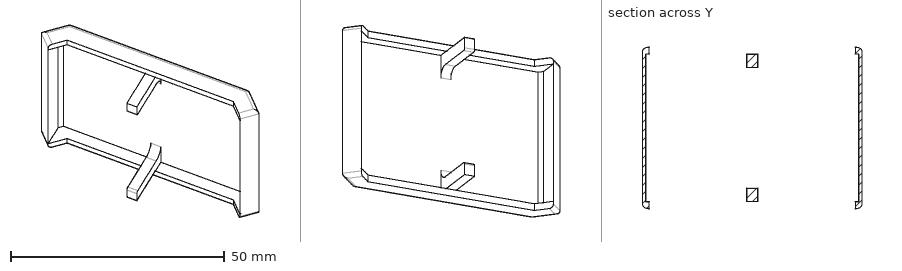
import cadquery as cq

length = 56.6
height = 38.0
depth = 15.0

tip_depth = 5.0
wing_reach = 3.35
edge_radius = 1.0

rim = 1.7
floor_depth = 2.0
cavity_bevel = 0.95

post_width = 2.6
post_height = 3.15
post_root_radius = 2.5
post_tip_radius = 0.5

half_length = length / 2
half_height = height / 2
back_half = half_length - tip_depth
wing_end_half = half_length - wing_reach
wing_end_depth = tip_depth + wing_reach
knee_half = wing_end_half - wing_reach
cavity_half_height = half_height - rim


def mirrored_prism(right_side, half_thickness):
    """Extrude along Z an XY outline completed by mirroring its right side in X."""
    left_side = [(-x, y) for x, y in reversed(right_side)]
    outline = cq.Workplane("XY").polyline(right_side + left_side).close()
    return outline.extrude(half_thickness, both=True)


def make_cover():
    body = mirrored_prism(
        [
            (back_half, 0),
            (half_length, -tip_depth),
            (wing_end_half, -wing_end_depth),
            (knee_half, -tip_depth),
        ],
        half_height,
    )
    body = body.edges("|Z and >Y").fillet(edge_radius)
    wing_middle_x = (back_half + half_length) / 2
    wing_end_middle_x = (wing_end_half + half_length) / 2
    rounded_edges = cq.Workplane()
    for z in (-half_height, half_height):
        for side in (-1, 1):
            wing_point = (side * wing_middle_x, -tip_depth / 2, z)
            end_point = (side * wing_end_middle_x, -tip_depth - wing_reach / 2, z)
            for point in (wing_point, end_point):
                rounded_edges = rounded_edges.add(body.edges(cq.NearestToPointSelector(point)).val())
    return body.newObject(rounded_edges.vals()).fillet(edge_radius)


def make_cavity():
    return mirrored_prism(
        [
            (wing_end_half - cavity_bevel, -floor_depth),
            (wing_end_half, -floor_depth - cavity_bevel),
            (wing_end_half, -wing_end_depth),
        ],
        cavity_half_height,
    )


def make_lower_post():
    base = -cavity_half_height
    top = base + post_height
    embedded_y = -floor_depth / 2
    return (
        cq.Workplane("YZ")
        .moveTo(embedded_y, base)
        .lineTo(-depth, base)
        .lineTo(-depth, top - post_tip_radius)
        .radiusArc((-depth + post_tip_radius, top), post_tip_radius)
        .lineTo(-floor_depth - post_root_radius, top)
        .radiusArc((-floor_depth, top + post_root_radius), -post_root_radius)
        .lineTo(embedded_y, top + post_root_radius)
        .close()
        .extrude(post_width / 2, both=True)
    )


lower_post = make_lower_post()
result = make_cover().cut(make_cavity()).union(lower_post).union(lower_post.mirror("XY"))